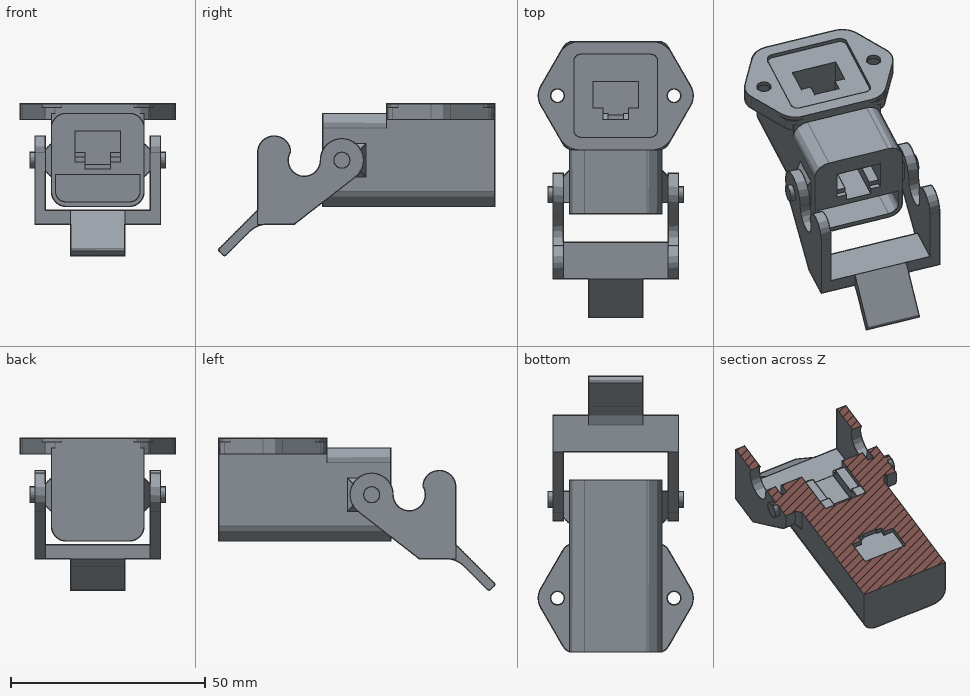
import cadquery as cq
import math


flange_depth = 27.9
flange_hole_x = 15.0
flange_end_radius = 5.0
flange_side_angle = 30
gasket_thickness = 1.1
gasket_corner_radius = 5.8
gasket_hole_radius = 1.8
flange_bottom_z = -4.1
flange_corner_radius = 3.0
flange_hole_radius = 1.7
recess_width = 21.6
recess_depth = 21.4
recess_corner_radius = 1.85

body_width = 23.9
body_length = 44.4
body_top_z = -2.5
body_bottom_z = -26.5
body_corner_radius = 3.85

opening_width = 11.8
opening_tab_width = 6.6
opening_shoulder = 6.75
opening_tab = 9.75
inner_tab = 8.6
front_opening_top_z = -7.05
front_inner_shoulder = 5.6
front_entry_shoulder = 8.0
front_entry_depth = 1.2
top_opening_y = 3.6
latch_depth = 9.95
opening_depth = 12.8
latch_stop_width = 4.05
latch_ramp_run = 1.5

pocket_width = 21.75
pocket_top_z = -18.2
pocket_bottom_z = -25.3
pocket_corner_radius = 2.7
pocket_depth = 11.4

pivot_y = -25.45
pivot_z = -14.6
pin_radius = 2.05
pin_half_length = 17.5
boss_back_y = -19.2
boss_height = 8.6

arm_inner_x = 13.5
arm_outer_x = 16.2
pivot_lobe_radius = 5.55
notch_radius = 4.1
hook_radius = 4.3
hook_center_z = -12.6
bail_front_y = -47.15
bail_back_y = -37.7
bail_top_z = -27.45
bail_bottom_z = -31.1

lever_width = 14.0
lever_thickness = 2.4
lever_tip_y = -57.15
lever_tip_radius = 0.5
lever_root_radius = 6.75

body_back_y = flange_depth / 2
body_front_y = body_back_y - body_length
boss_front_y = pivot_y - pin_radius
notch_center_y = pivot_y - pivot_lobe_radius - notch_radius
hook_center_y = bail_front_y + hook_radius


def box(x0, x1, y0, y1, z0, z1):
    """Axis-aligned box between two opposite corners."""
    return cq.Workplane("XY").box(x1 - x0, y1 - y0, z1 - z0, centered=False).translate((x0, y0, z0))


def profile_along_x(points, x0, x1):
    """Extrude a closed (y, z) outline from x0 to x1."""
    return cq.Workplane("YZ", origin=(x0, 0, 0)).polyline(points).close().extrude(x1 - x0)


def disc_along_x(y, z, radius, x0, x1):
    """Cylinder parallel to X from x0 to x1."""
    return cq.Workplane("YZ", origin=(x0, 0, 0)).center(y, z).circle(radius).extrude(x1 - x0)


def flange_layer(top_z, bottom_z, corner_radius, hole_radius):
    """Lozenge plate with rounded corners and two screw holes."""
    angle = math.radians(flange_side_angle)
    tip_x = flange_hole_x + flange_end_radius / math.cos(angle)
    half_depth = flange_depth / 2
    corner_x = tip_x - half_depth * math.tan(angle)
    outline = [
        (tip_x, 0), (corner_x, half_depth), (-corner_x, half_depth),
        (-tip_x, 0), (-corner_x, -half_depth), (corner_x, -half_depth),
    ]
    plate = cq.Workplane("XY", origin=(0, 0, bottom_z)).polyline(outline).close().extrude(top_z - bottom_z)
    plate = plate.edges("|Z and (<X or >X)").fillet(flange_end_radius)
    plate = plate.edges("|Z and (<Y or >Y)").fillet(corner_radius)
    holes = (
        cq.Workplane("XY", origin=(0, 0, bottom_z))
        .pushPoints([(-flange_hole_x, 0), (flange_hole_x, 0)])
        .circle(hole_radius)
        .extrude(top_z - bottom_z)
    )
    return plate.cut(holes)


def t_opening(plane, start, shoulder, tab, depth):
    """T-shaped plug opening cut along the plane's normal; start is its contact-side edge."""
    half_width = opening_width / 2
    half_tab = opening_tab_width / 2
    outline = [
        (-half_width, 0), (half_width, 0), (half_width, -shoulder), (half_tab, -shoulder),
        (half_tab, -tab), (-half_tab, -tab), (-half_tab, -shoulder), (-half_width, -shoulder),
    ]
    return cq.Workplane(plane, origin=start).polyline(outline).close().extrude(-depth)


def make_body():
    half_width = body_width / 2
    body = box(-half_width, half_width, body_front_y, body_back_y, body_bottom_z, body_top_z)
    body = body.edges("|Y").fillet(body_corner_radius)
    square_z = body_bottom_z + body_corner_radius
    return body.union(box(-half_width, half_width, -body_back_y, body_back_y, square_z, body_top_z))


def make_flange():
    flange = flange_layer(-gasket_thickness, flange_bottom_z, flange_corner_radius, flange_hole_radius)
    gasket = flange_layer(0, -gasket_thickness, gasket_corner_radius, gasket_hole_radius)
    recess = (
        cq.Workplane("XY")
        .rect(recess_width, recess_depth)
        .extrude(-gasket_thickness)
        .edges("|Z")
        .fillet(recess_corner_radius)
    )
    return flange.union(gasket.cut(recess))


def front_opening():
    start = (0, body_front_y, front_opening_top_z)
    opening = t_opening("XZ", start, front_entry_shoulder, opening_tab, front_entry_depth)
    opening = opening.union(t_opening("XZ", start, opening_shoulder, opening_tab, latch_depth))
    return opening.union(t_opening("XZ", start, front_inner_shoulder, inner_tab, opening_depth))


def top_opening():
    start = (0, top_opening_y, -gasket_thickness)
    opening = t_opening("XY", start, opening_shoulder, opening_tab, opening_depth)
    tab_end_y = top_opening_y - opening_tab
    stop_z = -gasket_thickness - latch_depth
    floor_z = -gasket_thickness - opening_depth
    half_stop = latch_stop_width / 2
    stop = box(-half_stop, half_stop, tab_end_y, top_opening_y - inner_tab, floor_z, stop_z)
    ramp_outline = [
        (tab_end_y, stop_z),
        (tab_end_y + latch_ramp_run, stop_z - latch_ramp_run),
        (tab_end_y + latch_ramp_run, floor_z),
        (tab_end_y, floor_z),
    ]
    half_tab = opening_tab_width / 2
    for x0, x1 in [(-half_tab, -half_stop), (half_stop, half_tab)]:
        stop = stop.union(profile_along_x(ramp_outline, x0, x1))
    return opening.cut(stop)


def front_pocket():
    half_width = pocket_width / 2
    pocket = box(
        -half_width, half_width, body_front_y, body_front_y + pocket_depth, pocket_bottom_z, pocket_top_z
    )
    return pocket.edges("|Y and <Z").fillet(pocket_corner_radius)


def make_pivot_boss():
    """Boss spanning both body sides, bevelled at 45 degrees except on its front face."""
    bevel = arm_inner_x - body_width / 2
    half_height = boss_height / 2
    boss = box(
        -arm_inner_x, arm_inner_x, boss_front_y, boss_back_y, pivot_z - half_height, pivot_z + half_height
    )
    return boss.faces("<X or >X").edges("|Y or (|Z and >Y)").chamfer(bevel)


def make_arm(x0, x1):
    """Side plate of the bail: pivot lobe, locking notch and hook."""
    dy = bail_back_y - pivot_y
    dz = bail_bottom_z - pivot_z
    angle = math.atan2(dz, dy) + math.acos(pivot_lobe_radius / math.hypot(dy, dz))
    tangent = (
        pivot_y + pivot_lobe_radius * math.cos(angle),
        pivot_z + pivot_lobe_radius * math.sin(angle),
    )
    outline = [
        (pivot_y, pivot_z), tangent, (bail_back_y, bail_bottom_z), (bail_front_y, bail_bottom_z),
        (bail_front_y, hook_center_z), (hook_center_y, hook_center_z), (hook_center_y, pivot_z),
    ]
    arm = profile_along_x(outline, x0, x1)
    arm = arm.union(disc_along_x(pivot_y, pivot_z, pivot_lobe_radius, x0, x1))
    arm = arm.union(disc_along_x(hook_center_y, hook_center_z, hook_radius, x0, x1))
    return arm.cut(disc_along_x(notch_center_y, pivot_z, notch_radius, x0, x1))


def make_lever():
    """Finger lever leaving the bail's front face downwards at 45 degrees."""
    upper_offset = bail_top_z - bail_front_y
    lower_offset = upper_offset - lever_thickness * math.sqrt(2)
    tip_y = lever_tip_y - lever_tip_radius * (math.sqrt(2) - 1)
    tip_step = lever_thickness / math.sqrt(2)
    root_y = bail_bottom_z - lower_offset
    outline = [
        (bail_front_y, bail_top_z),
        (tip_y, tip_y + upper_offset),
        (tip_y + tip_step, tip_y + tip_step + lower_offset),
        (root_y, bail_bottom_z),
        (bail_back_y, bail_bottom_z),
        (bail_back_y, bail_top_z),
    ]
    half_width = lever_width / 2
    lever = profile_along_x(outline, -half_width, half_width)
    root = cq.selectors.NearestToPointSelector((0, root_y, bail_bottom_z))
    lever = lever.edges(root).fillet(lever_root_radius)
    lever = lever.edges("|X and <Y").fillet(lever_tip_radius)
    return lever.edges("|X and <Z").fillet(lever_tip_radius)


def make_bail():
    bail = box(-arm_outer_x, arm_outer_x, bail_front_y, bail_back_y, bail_bottom_z, bail_top_z)
    for x0, x1 in [(-arm_outer_x, -arm_inner_x), (arm_inner_x, arm_outer_x)]:
        bail = bail.union(make_arm(x0, x1))
    return bail.union(make_lever())


pin = disc_along_x(pivot_y, pivot_z, pin_radius, -pin_half_length, pin_half_length)

housing = make_body().union(make_flange()).union(make_pivot_boss()).union(pin)
housing = housing.cut(front_opening()).cut(top_opening()).cut(front_pocket())
result = housing.union(make_bail())